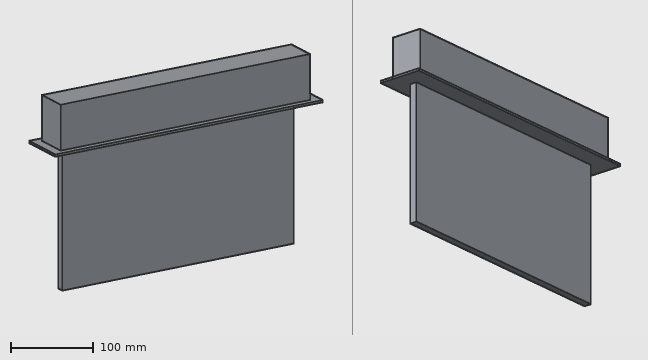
import cadquery as cq

flange_width = 60.0
flange_length = 382.5
flange_thickness = 3.0

housing_width = 43.0
housing_length = 356.5
housing_height = 59.0

total_height = 246.0
panel_thickness = 10.0
panel_length = 331.0
panel_height = total_height - housing_height - flange_thickness


def centred_block(width, length, height, bottom):
    """Block centred on the Z axis, standing on the given level."""
    return (
        cq.Workplane("XY")
        .workplane(offset=bottom)
        .rect(width, length)
        .extrude(height)
    )


flange = centred_block(flange_width, flange_length, flange_thickness, 0)
housing = centred_block(housing_width, housing_length, housing_height, flange_thickness)
panel = centred_block(panel_thickness, panel_length, panel_height, -panel_height)

result = flange.union(housing).union(panel)